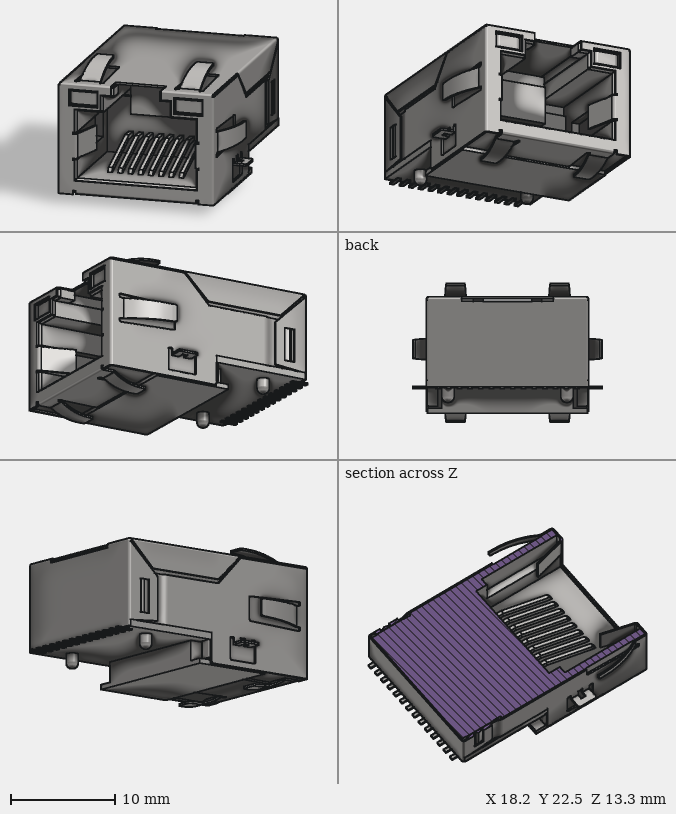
import cadquery as cq
import math

TOTAL_W = 18.15
TOTAL_H = 13.3
HALF_W = 7.8
DEPTH = 21.87
HEIGHT = 11.02
SHEET = 0.2
BEND_R = 0.27
INNER_W = HALF_W - SHEET
ROOF_Z = HEIGHT - SHEET
REAR_Y = DEPTH - SHEET
FAR = 44.95
ROUND_END = 0.49

PORT_HALF_W = 6.15
PORT_FLOOR_Z = 1.37
PORT_TOP_Z = 8.5
LATCH_HALF_W = 3.55
LATCH_TOP_Z = 10.1
NOTCH_HALF_W = 2.52
NOTCH_DEPTH = 1.8
PORT_CHAMFER = 0.2
PORT_BACK_Y = 10.35

LOWER_SHEET_Y = 5.22
LOWER_SHEET_HALF_W = 6.3
LOWER_RELIEF_W = 0.27
LOWER_RELIEF_H = 0.38
STEP_Y = 11.82
STEP_CHAMFER = 0.18
STEP_Z = 3.0
BODY_FLOOR_Z = 2.3
REAR_WALL_Z = 2.35

SPRING_X = 5.0
SPRING_Z = 5.98
SPRING_RISE = TOTAL_W / 2 - HALF_W
SPRING_TIP_Y = 6.68
SPRING_ROOT_Y = 1.44
SPRING_FLAT = 0.52
SPRING_TIP_HALF_W = 0.85
SPRING_ROOT_HALF_W = 1.03
SPRING_SLOT_START_Y = 1.0
SPRING_SLOT_GAP = 0.52
SLOT_REAR_HALF_W = 1.21
SLOT_FRONT_HALF_W = 1.44
SLOT_CORNER_R = 0.18
LOWER_SPRING_RISE = TOTAL_H - HEIGHT - SPRING_RISE
LOWER_SPRING_TIP_Y = 5.1

FLAP_FRONT_Y = 8.36
FLAP_LOWER_FRONT_Y = 10.88
FLAP_LOWER_REAR_Y = 18.97
FLAP_LOWER_Z = 8.35
FLAP_REAR_Y = 21.54
WALL_CORNER_Y = 10.95
WALL_TOP_Z = 7.94
WING_FRONT_Y = 18.39
WING_TOP_Z = 7.58
WING_LOWER_FRONT_Z = 3.25
WING_LOWER_REAR_Y = 21.3
SEAM_Y_SHIFT = 0.15
SEAM_STEP_W = 0.13
SEAM_STEP_H = 0.22

JOGGLE_START_Y = 17.13
JOGGLE_END_Y = 18.07
JOGGLE_TAIL_Y = 21.13

LATCH_SLOT_Y = (19.4, 20.48)
LATCH_SLOT_Z = (3.87, 7.17)
LATCH_CREST_Y = 19.98
LATCH_FALL_Y = 20.23
LATCH_CREST = 0.15

TAB_Y = 7.98
TAB_HALF_W = 1.05
TAB_LOWER_Z = 2.2
TAB_REACH = HALF_W + SPRING_RISE
TAB_CHAMFER = 0.18
TAB_SLOT_W = 0.55
TAB_SLOT_END = 8.35
TAB_SLOT_TOP_Z = 2.92
TAB_WINDOW_HALF_W = 1.53
TAB_WINDOW_LOWER_Z = 0.63
TAB_WINDOW_R = 0.13

TONGUE_Z = (3.57, 6.0)
TONGUE_RELIEF = 0.15
TONGUE_TIP_X = 5.04
TONGUE_TIP_Y = 3.7
TONGUE_BEND = 0.25
TONGUE_BEND_Y = 0.34
TONGUE_POCKET_HALF_W = 6.8
TONGUE_POCKET_END_Y = 9.08

REAR_NOTCH_HALF_W = 4.4
REAR_NOTCH_DEPTH = 0.52
CHANNEL_HALF_W = 3.3
CHANNEL_START_Y = 1.93
CHANNEL_Z = 10.57

LIGHT_X = 5.25
LIGHT_W = 2.85
LIGHT_Z = 9.62
LIGHT_H = 1.62
LIGHT_LENGTH = 2.7
LIGHT_EDGE_R = 0.55
LIGHT_BEVEL = 0.18

BASE_PLATE_Z = (-0.18, 0.31)
BASE_PLATE_HALF_W = 7.69
BASE_PLATE_REAR_Y = 13.15
LOWER_BLOCK_HALF_W = 6.3
STOP_HALF_W = 3.3
STOP_Z = (5.75, 9.46)
STOP_FRONT_Y = 9.45
UPPER_STOP_FRONT_Y = 9.67
LEDGE_Z = 7.24
LEDGE_DEPTH = 0.45
PEG_D = 1.2
PEG_X = 5.7
PEG_Y = 18.2
PEG_TIP_Z = 0.85

CONTACT_COUNT = 8
CONTACT_ROW = 7.15
CONTACT_W = 0.4
CONTACT_TIP_Y = 3.25
CONTACT_SHOULDER_Y = 3.55
CONTACT_SHOULDER_Z = 2.0
CONTACT_LEVEL_Y = 9.0
CONTACT_BACK_Z = 3.78
CONTACT_H = 0.43
PIN_COUNT = 14
PIN_ROW = 13.33
PIN_W = 0.4
PIN_Z = (2.2, 2.35)
PIN_START_Y = 20.8
PIN_END_Y = 22.48


def block(x, y, z):
    """Box from three (low, high) ranges."""
    size = [high - low for low, high in (x, y, z)]
    return cq.Workplane("XY").box(*size, centered=False).translate((x[0], y[0], z[0]))


def centred_block(half_w, y, z):
    """Box that is symmetric about the middle plane."""
    return block((-half_w, half_w), y, z)


def both_sides(body):
    """A body made on the +X side together with its mirror image."""
    return body.union(body.mirror("YZ"))


def side_sheet(points):
    """Flat piece of the side wall on the +X side from a (Y, Z) outline."""
    return cq.Workplane("YZ").polyline(points).close().extrude(SHEET).translate((INNER_W, 0, 0))


def port_tool(start_y, length, inset=0.0, taper=0.0):
    """Stepped port outline, run along +Y and open at the top."""
    half = [
        (PORT_HALF_W - inset, PORT_FLOOR_Z + inset),
        (PORT_HALF_W - inset, PORT_TOP_Z - inset),
        (LATCH_HALF_W - inset, PORT_TOP_Z - inset),
        (LATCH_HALF_W - inset, LATCH_TOP_Z - inset),
        (NOTCH_HALF_W - inset, LATCH_TOP_Z - inset),
        (NOTCH_HALF_W - inset, HEIGHT + SHEET + PORT_CHAMFER),
    ]
    outline = half + [(-x, z) for x, z in reversed(half)]
    plane = cq.Plane(origin=(0, start_y, 0), xDir=(1, 0, 0), normal=(0, -1, 0))
    return cq.Workplane(plane).polyline(outline).close().extrude(-length, taper=taper)


def spring(rise, tip_y):
    """Curved spring that leaves the sheet at its root and ends level at the tip."""
    crest_y = tip_y - SPRING_FLAT
    run = crest_y - SPRING_ROOT_Y
    radius = (run**2 + rise**2) / (2 * rise)
    angle = math.asin(run / radius)

    def on_arc(r, a):
        return (crest_y - r * math.sin(a), rise - radius + r * math.cos(a))

    inner_r = radius - SHEET
    profile = (
        cq.Workplane("YZ")
        .moveTo(SPRING_SLOT_START_Y, -SHEET)
        .lineTo(SPRING_SLOT_START_Y, 0)
        .lineTo(SPRING_ROOT_Y, 0)
        .threePointArc(on_arc(radius, angle / 2), on_arc(radius, 0))
        .lineTo(tip_y, rise)
        .lineTo(tip_y, rise - SHEET)
        .lineTo(crest_y, rise - SHEET)
        .threePointArc(on_arc(inner_r, angle / 2), on_arc(inner_r, angle))
        .lineTo(SPRING_ROOT_Y, -SHEET)
        .close()
        .extrude(SLOT_FRONT_HALF_W, both=True)
    )
    plan = (
        cq.Workplane("XY")
        .polyline([
            (-SPRING_ROOT_HALF_W, SPRING_SLOT_START_Y),
            (SPRING_ROOT_HALF_W, SPRING_SLOT_START_Y),
            (SPRING_TIP_HALF_W, tip_y),
            (-SPRING_TIP_HALF_W, tip_y),
        ])
        .close()
        .extrude(FAR, both=True)
        .edges("|Z and >Y")
        .fillet(SLOT_CORNER_R)
    )
    return profile.intersect(plan)


def spring_slot(tip_y):
    """Tapered slot in the sheet around a spring, with round-ended legs beside the root."""
    rear_y = tip_y + SPRING_SLOT_GAP
    slot = (
        cq.Workplane("XY")
        .polyline([
            (-SLOT_FRONT_HALF_W, SPRING_SLOT_START_Y),
            (SLOT_FRONT_HALF_W, SPRING_SLOT_START_Y),
            (SLOT_REAR_HALF_W, rear_y),
            (-SLOT_REAR_HALF_W, rear_y),
        ])
        .close()
        .extrude(-SHEET)
        .edges("|Z and >Y")
        .fillet(SLOT_CORNER_R)
    )
    root = block(
        (-SPRING_ROOT_HALF_W, SPRING_ROOT_HALF_W),
        (SPRING_SLOT_START_Y, SPRING_ROOT_Y),
        (-SHEET, 0),
    )
    return slot.cut(root).edges("|Z and <Y").fillet(SLOT_CORNER_R)


def place_on_roof(body, side):
    return body.translate((side * SPRING_X, 0, HEIGHT))


def place_on_side(body, side):
    return body.rotate((0, 0, 0), (0, 1, 0), side * 90).translate((side * HALF_W, 0, SPRING_Z))


def place_on_bottom(body, side):
    return body.rotate((0, 0, 0), (0, 1, 0), 180).translate((side * SPRING_X, 0, 0))


def add_springs(shell):
    layouts = [
        (place_on_roof, SPRING_RISE, SPRING_TIP_Y),
        (place_on_side, SPRING_RISE, SPRING_TIP_Y),
        (place_on_bottom, LOWER_SPRING_RISE, LOWER_SPRING_TIP_Y),
    ]
    for place, rise, tip_y in layouts:
        for side in (-1, 1):
            shell = shell.cut(place(spring_slot(tip_y), side))
            shell = shell.union(place(spring(rise, tip_y), side))
    return shell


def shield_skin():
    """Bent box of sheet metal, open underneath behind the lower sheet."""
    skin = centred_block(HALF_W, (0, DEPTH), (0, HEIGHT))
    skin = skin.edges("|Z or >Z").fillet(BEND_R)
    skin = skin.cut(centred_block(INNER_W, (SHEET, REAR_Y), (SHEET, ROOF_Z)))
    skin = skin.cut(centred_block(INNER_W, (LOWER_SHEET_Y, REAR_Y), (0, SHEET)))
    for side in (-1, 1):
        edges = sorted((side * (LOWER_SHEET_HALF_W - LOWER_RELIEF_W), side * INNER_W))
        skin = skin.cut(block(edges, (SHEET, LOWER_SHEET_Y), (0, SHEET)))
    skin = skin.cut(centred_block(HALF_W, (STEP_Y, REAR_Y), (0, STEP_Z)))
    corner = [(STEP_Y, 0), (STEP_Y, STEP_CHAMFER), (STEP_Y - STEP_CHAMFER, 0)]
    skin = skin.cut(both_sides(side_sheet(corner)))
    return skin.cut(centred_block(HALF_W, (STEP_Y, DEPTH), (0, REAR_WALL_Z)))


def lower_bend(shell):
    """Round the bend between front and lower sheet and relieve its two ends."""
    corner = centred_block(LOWER_SHEET_HALF_W, (0, BEND_R), (0, BEND_R))
    rod = (
        cq.Workplane("YZ")
        .center(BEND_R, BEND_R)
        .circle(BEND_R)
        .extrude(LOWER_SHEET_HALF_W, both=True)
    )
    relief_x = (LOWER_SHEET_HALF_W - LOWER_RELIEF_W, LOWER_SHEET_HALF_W)
    relief = both_sides(block(relief_x, (0, LOWER_RELIEF_H), (0, LOWER_RELIEF_H)))
    return shell.cut(corner.cut(rod)).cut(relief)


def side_seams(shell):
    """Open the seams between side wall, roof flap and rear wing."""
    front_seam = side_sheet([
        (FLAP_FRONT_Y, ROOF_Z),
        (FLAP_LOWER_FRONT_Y, FLAP_LOWER_Z),
        (FLAP_LOWER_REAR_Y, FLAP_LOWER_Z),
        (FLAP_REAR_Y, ROOF_Z),
        (FLAP_REAR_Y + SEAM_Y_SHIFT, ROOF_Z - SEAM_Y_SHIFT),
        (WING_FRONT_Y, WING_TOP_Z),
        (WING_FRONT_Y, WING_LOWER_FRONT_Z),
        (WING_LOWER_REAR_Y, STEP_Z),
        (JOGGLE_START_Y, STEP_Z),
        (JOGGLE_START_Y, WALL_TOP_Z),
        (WALL_CORNER_Y, WALL_TOP_Z),
        (FLAP_FRONT_Y - SEAM_Y_SHIFT, ROOF_Z),
    ])
    shell = shell.cut(both_sides(front_seam))
    step = block((HALF_W - SEAM_STEP_W, HALF_W), (0, FLAP_FRONT_Y), (HEIGHT - SEAM_STEP_H, HEIGHT))
    return shell.cut(both_sides(step))


def joggled_wall():
    """Rear part of the side wall, stepped in by one sheet to lie under the wing."""
    middle_y = (JOGGLE_START_Y + JOGGLE_END_Y) / 2
    inner_w = INNER_W - SHEET
    start_y = JOGGLE_START_Y - SHEET
    return (
        cq.Workplane("XY")
        .moveTo(HALF_W, start_y)
        .lineTo(HALF_W, JOGGLE_START_Y)
        .tangentArcPoint((HALF_W - SHEET / 2, middle_y), relative=False)
        .tangentArcPoint((INNER_W, JOGGLE_END_Y), relative=False)
        .lineTo(INNER_W, JOGGLE_TAIL_Y)
        .lineTo(inner_w, JOGGLE_TAIL_Y)
        .lineTo(inner_w, JOGGLE_END_Y)
        .tangentArcPoint((INNER_W - SHEET / 2, middle_y), relative=False)
        .tangentArcPoint((INNER_W, JOGGLE_START_Y), relative=False)
        .lineTo(INNER_W, start_y)
        .close()
        .extrude(WALL_TOP_Z - STEP_Z)
        .translate((0, 0, STEP_Z))
    )


def latch_wedge():
    """Wedge on the joggled wall that snaps into the window of the wing."""
    return (
        cq.Workplane("XY")
        .polyline([
            (INNER_W, LATCH_SLOT_Y[0]),
            (INNER_W + LATCH_CREST, LATCH_CREST_Y),
            (INNER_W, LATCH_FALL_Y),
            (INNER_W - SHEET / 2, LATCH_CREST_Y),
        ])
        .close()
        .extrude(LATCH_SLOT_Z[1] - LATCH_SLOT_Z[0])
        .translate((0, 0, LATCH_SLOT_Z[0]))
    )


def step_flange():
    """Short flange turned in at the rear edge of the deep side wall."""
    flange = block(
        (LOWER_BLOCK_HALF_W + 2 * SHEET, BASE_PLATE_HALF_W),
        (STEP_Y, STEP_Y + BEND_R),
        (BASE_PLATE_Z[1] + SHEET, BODY_FLOOR_Z),
    )
    return flange.edges("|Z and >X and >Y").fillet(BEND_R - SHEET)


def solder_tab():
    """Tab bent out of the side wall, with a slot across its bend."""
    tab = block(
        (INNER_W, TAB_REACH),
        (TAB_Y - TAB_HALF_W, TAB_Y + TAB_HALF_W),
        (TAB_LOWER_Z, TAB_LOWER_Z + SHEET),
    )
    return tab.edges("|Z and >X").chamfer(TAB_CHAMFER)


def tab_window():
    """Hole the solder tab leaves in the wall, with round-topped reliefs beside the tab."""
    upper_z = TAB_LOWER_Z + SHEET
    window = block(
        (INNER_W, HALF_W),
        (TAB_Y - TAB_WINDOW_HALF_W, TAB_Y + TAB_WINDOW_HALF_W),
        (TAB_WINDOW_LOWER_Z, upper_z),
    )
    window = window.edges("|X and <Z").fillet(TAB_WINDOW_R)
    relief_w = TAB_WINDOW_HALF_W - TAB_HALF_W
    for side in (-1, 1):
        middle = TAB_Y + side * (TAB_HALF_W + relief_w / 2)
        relief = block(
            (INNER_W, HALF_W),
            (middle - relief_w / 2, middle + relief_w / 2),
            (TAB_LOWER_Z, TAB_SLOT_TOP_Z),
        )
        window = window.union(relief.edges("|X and >Z").fillet(relief_w * ROUND_END))
    return window


def tab_slot():
    return block(
        (INNER_W, TAB_SLOT_END),
        (TAB_Y - TAB_SLOT_W / 2, TAB_Y + TAB_SLOT_W / 2),
        (TAB_LOWER_Z, TAB_SLOT_TOP_Z),
    )


def tongue():
    """Contact tongue bent from the edge of the port into the pocket of the housing."""
    bend_x = PORT_HALF_W - TONGUE_BEND
    outer_x = PORT_HALF_W + TONGUE_RELIEF
    diagonal = math.radians(45)
    bend_middle = (
        PORT_HALF_W - TONGUE_BEND * math.sin(diagonal),
        TONGUE_BEND_Y * (1 - math.cos(diagonal)),
    )
    return (
        cq.Workplane("XY")
        .moveTo(outer_x, 0)
        .lineTo(PORT_HALF_W, 0)
        .threePointArc(bend_middle, (bend_x, TONGUE_BEND_Y))
        .lineTo(TONGUE_TIP_X, TONGUE_TIP_Y)
        .lineTo(TONGUE_TIP_X + SHEET, TONGUE_TIP_Y)
        .lineTo(bend_x + SHEET, TONGUE_BEND_Y)
        .lineTo(outer_x, SHEET)
        .close()
        .extrude(TONGUE_Z[1] - TONGUE_Z[0])
        .translate((0, 0, TONGUE_Z[0]))
    )


def front_openings(shell):
    """Port, roof notch and light windows in the front of the shield."""
    shell = shell.cut(port_tool(0, SHEET))
    shell = shell.cut(centred_block(NOTCH_HALF_W, (0, NOTCH_DEPTH), (ROOF_Z, HEIGHT)))
    relief = both_sides(block(
        (PORT_HALF_W, PORT_HALF_W + TONGUE_RELIEF),
        (0, SHEET),
        (TONGUE_Z[0] - TONGUE_RELIEF, TONGUE_Z[1] + TONGUE_RELIEF),
    ))
    shell = shell.cut(relief)
    for side in (-1, 1):
        shell = shell.cut(light_block(side, (0, SHEET)))
    return shell


def rear_notch(shell):
    """Gap in the rear bend of the roof."""
    notch_y = (DEPTH - REAR_NOTCH_DEPTH, DEPTH)
    return shell.cut(centred_block(REAR_NOTCH_HALF_W, notch_y, (CHANNEL_Z, HEIGHT)))


def make_shield():
    shell = front_openings(rear_notch(side_seams(lower_bend(shield_skin()))))
    wing_window = block((INNER_W, HALF_W), LATCH_SLOT_Y, LATCH_SLOT_Z)
    shell = shell.cut(both_sides(wing_window)).cut(both_sides(tab_window()))
    for detail in (joggled_wall(), latch_wedge(), step_flange(), solder_tab(), tongue()):
        shell = shell.union(both_sides(detail))
    shell = shell.cut(both_sides(tab_slot()))
    return add_springs(shell)


def light_block(side, y):
    """Straight block with the cross-section of a light guide."""
    middle = side * LIGHT_X
    return block(
        (middle - LIGHT_W / 2, middle + LIGHT_W / 2),
        y,
        (LIGHT_Z - LIGHT_H / 2, LIGHT_Z + LIGHT_H / 2),
    )


def make_light_guide(side):
    guide = light_block(side, (SHEET, SHEET + LIGHT_LENGTH))
    guide = guide.edges("<Y and |Z").fillet(LIGHT_EDGE_R)
    return guide.faces("<Y").edges("|X").chamfer(LIGHT_BEVEL)


def housing_blank():
    body = centred_block(INNER_W, (SHEET, REAR_Y), (BODY_FLOOR_Z, ROOF_Z))
    body = body.union(centred_block(INNER_W, (SHEET, STEP_Y), (SHEET, BODY_FLOOR_Z)))
    body = body.union(centred_block(HALF_W, (STEP_Y, REAR_Y), (BODY_FLOOR_Z, STEP_Z)))
    body = body.union(centred_block(LOWER_BLOCK_HALF_W, (STEP_Y, BASE_PLATE_REAR_Y), (0, BODY_FLOOR_Z)))
    plate_y = (LOWER_SHEET_Y, BASE_PLATE_REAR_Y)
    body = body.union(centred_block(BASE_PLATE_HALF_W, plate_y, (BASE_PLATE_Z[0], 0)))
    body = body.union(centred_block(INNER_W, (LOWER_SHEET_Y, STEP_Y), (0, SHEET)))
    plate_tail = centred_block(BASE_PLATE_HALF_W, (STEP_Y, BASE_PLATE_REAR_Y), (0, BASE_PLATE_Z[1]))
    body = body.union(plate_tail)
    recess = block(
        (INNER_W - SHEET, INNER_W),
        (JOGGLE_START_Y, REAR_Y),
        (STEP_Z, WALL_TOP_Z),
    )
    body = body.cut(both_sides(recess))
    return body.cut(centred_block(CHANNEL_HALF_W, (CHANNEL_START_Y, REAR_Y), (CHANNEL_Z, ROOF_Z)))


def port_cavity(body):
    body = body.cut(port_tool(SHEET, PORT_CHAMFER, taper=45))
    body = body.cut(port_tool(SHEET, PORT_BACK_Y - SHEET, inset=PORT_CHAMFER))
    open_top_z = (LATCH_TOP_Z - PORT_CHAMFER, ROOF_Z)
    body = body.cut(centred_block(CHANNEL_HALF_W, (CHANNEL_START_Y, PORT_BACK_Y), open_top_z))
    ledge_half_w = PORT_HALF_W - PORT_CHAMFER
    ledge_z = (LEDGE_Z, PORT_TOP_Z - PORT_CHAMFER)
    body = body.cut(centred_block(ledge_half_w, (PORT_BACK_Y, PORT_BACK_Y + LEDGE_DEPTH), ledge_z))
    pocket_z = (TONGUE_Z[0] - TONGUE_RELIEF, TONGUE_Z[1] + TONGUE_RELIEF)
    body = body.cut(centred_block(TONGUE_POCKET_HALF_W, (SHEET, TONGUE_POCKET_END_Y), pocket_z))
    stop_back = PORT_BACK_Y + LEDGE_DEPTH
    body = body.union(centred_block(STOP_HALF_W, (STOP_FRONT_Y, stop_back), STOP_Z))
    upper_z = (STOP_Z[1], CHANNEL_Z)
    return body.union(centred_block(STOP_HALF_W, (UPPER_STOP_FRONT_Y, stop_back), upper_z))


def place_in_row(index, count, length):
    """X of one member of an evenly spaced row centred on the middle plane."""
    return length * (index / (count - 1) - 0.5)


def contact(x):
    """Contact bar that slopes up from the port floor and runs level into the back wall."""
    floor_z = PORT_FLOOR_Z + PORT_CHAMFER
    return (
        cq.Workplane("YZ")
        .polyline([
            (CONTACT_TIP_Y, floor_z),
            (CONTACT_SHOULDER_Y, CONTACT_SHOULDER_Z),
            (CONTACT_LEVEL_Y, CONTACT_BACK_Z),
            (PORT_BACK_Y, CONTACT_BACK_Z),
            (PORT_BACK_Y, CONTACT_BACK_Z - CONTACT_H),
            (CONTACT_LEVEL_Y, CONTACT_BACK_Z - CONTACT_H),
            (CONTACT_SHOULDER_Y, floor_z),
        ])
        .close()
        .extrude(CONTACT_W / 2, both=True)
        .translate((x, 0, 0))
    )


def peg(x):
    """Round locating peg with a hemispherical tip."""
    radius = PEG_D / 2
    length = BODY_FLOOR_Z - PEG_TIP_Z
    post = cq.Workplane("XY").circle(radius).extrude(length).faces("<Z").edges().fillet(PEG_D * ROUND_END)
    return post.translate((x, PEG_Y, PEG_TIP_Z))


def make_housing():
    body = port_cavity(housing_blank())
    for side in (-1, 1):
        body = body.cut(light_block(side, (SHEET, SHEET + LIGHT_LENGTH)))
        body = body.union(peg(side * PEG_X))
    for index in range(CONTACT_COUNT):
        body = body.union(contact(place_in_row(index, CONTACT_COUNT, CONTACT_ROW)))
    for index in range(PIN_COUNT):
        x = place_in_row(index, PIN_COUNT, PIN_ROW)
        body = body.union(block((x - PIN_W / 2, x + PIN_W / 2), (PIN_START_Y, PIN_END_Y), PIN_Z))
    return body


shield = make_shield()
housing = make_housing()
light_guides = [make_light_guide(side) for side in (-1, 1)]

result = cq.Compound.makeCompound([
    shield.solids().val(),
    housing.solids().val(),
    *[guide.solids().val() for guide in light_guides],
])